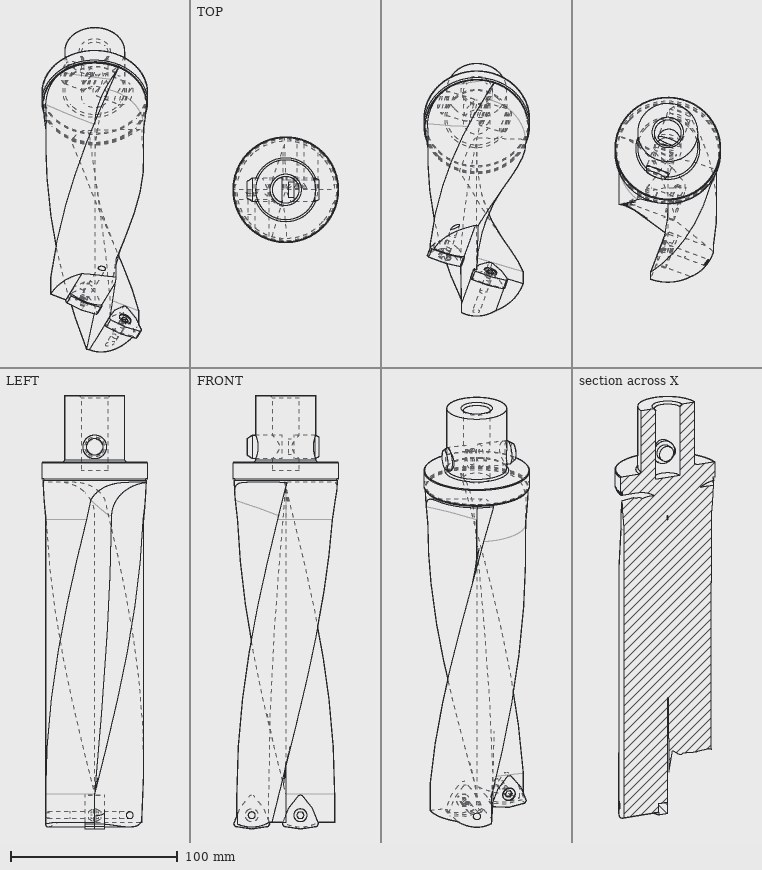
import cadquery as cq
import math

TOTAL_HEIGHT = 260.0
FLANGE_TOP = 220.0
FLANGE_BOTTOM = 210.0
NECK_TOP = 209.0
NECK_BOTTOM = 185.5
TIP_FACE = 4.0

SHANK_RADIUS = 18.0
SHANK_FLARE = 1.2
FLANGE_RADIUS = 31.75
FLANGE_CHAMFER = 0.5
NECK_TOP_RADIUS = 31.0
NECK_MID_RADIUS = 30.4
NECK_RELIEF_RADIUS = 30.5
DRILL_RADIUS = 29.4
BORE_RADIUS = 8.0
BORE_CHAMFER = 1.4
BORE_DEPTH = 45.0

STRAIGHT_HEIGHT = 21.0
TWIST_RATE = 90.0 / 184.0
FLUTE_ROOF = 208.0
ROOF_RADIUS = 20.0
OUTER_FLUTE_CORNER = 10.2
OUTER_WALL_ANGLE = -90.0
INNER_FLUTE_CORNER = 0.0
INNER_WALL_ANGLE = -98.0
REACH = 45.0

INSERT_CENTRE_Z = 8.3
INSERT_CORNER_RADIUS = 13.2
INSERT_NOSE_RADIUS = 12.0
INSERT_THICKNESS = 5.9
INNER_INSERT_X = 8.8
OUTER_INSERT_X = 20.4
BULGE_HALF_WIDTH = 10.5
BULGE_DEPTH = 2.8
SCREW_HEAD_RADIUS = 3.9
SCREW_HEAD_RECESS = 0.8
SCREW_HEAD_HEIGHT = 3.0
SCREW_RADIUS = 2.1
SCREW_LENGTH = 14.0
SOCKET_WIDTH = 4.4
SOCKET_DEPTH = 1.5

PIN_Z = 229.2
PIN_RADIUS = 7.1
LEFT_PIN_OUTER_X = -23.2
LEFT_PIN_INNER_X = -2.2
LEFT_PIN_CONE_LENGTH = 3.3
LEFT_PIN_FACE_RADIUS = 5.0
RIGHT_PIN_OUTER_X = 20.0
RIGHT_PIN_STEP_X = 5.0
RIGHT_PIN_INNER_X = 1.6
RIGHT_PIN_CONE_LENGTH = 2.4
RIGHT_PIN_FACE_RADIUS = 5.9
RIGHT_PIN_NOSE_RADIUS = 4.7


def polar(radius, degrees):
    angle = math.radians(degrees)
    return (radius * math.cos(angle), radius * math.sin(angle))


def turned_blank():
    """Shank, flange, flared neck and drill cylinder as one revolved profile."""
    return (
        cq.Workplane(cq.Plane((0, 0, 0), xDir=(0, -1, 0), normal=(-1, 0, 0)))
        .moveTo(0, TIP_FACE)
        .lineTo(DRILL_RADIUS, TIP_FACE)
        .lineTo(DRILL_RADIUS, NECK_BOTTOM)
        .threePointArc((NECK_MID_RADIUS, (NECK_TOP + NECK_BOTTOM) / 2), (NECK_TOP_RADIUS, NECK_TOP))
        .lineTo(NECK_RELIEF_RADIUS, NECK_TOP)
        .lineTo(NECK_RELIEF_RADIUS, FLANGE_BOTTOM)
        .lineTo(FLANGE_RADIUS, FLANGE_BOTTOM)
        .lineTo(FLANGE_RADIUS, FLANGE_TOP - FLANGE_CHAMFER)
        .lineTo(FLANGE_RADIUS - FLANGE_CHAMFER, FLANGE_TOP)
        .lineTo(SHANK_RADIUS + SHANK_FLARE, FLANGE_TOP)
        .lineTo(SHANK_RADIUS, FLANGE_TOP + SHANK_FLARE)
        .lineTo(SHANK_RADIUS, TOTAL_HEIGHT)
        .lineTo(0, TOTAL_HEIGHT)
        .close()
        .revolve(360, (0, 0, 0), (0, 1, 0))
    )


def tip_bulge():
    """Curved tip behind an insert, on the +Y side with its middle at x = 0."""
    return (
        cq.Workplane("XZ")
        .moveTo(-BULGE_HALF_WIDTH, TIP_FACE)
        .threePointArc((0, TIP_FACE - BULGE_DEPTH), (BULGE_HALF_WIDTH, TIP_FACE))
        .close()
        .extrude(-REACH)
    )


def flute_section(base_z, wall_direction, corner, angle):
    """Flute cross-section: rake face along local +X, back wall leaving the corner downwards."""
    run, drop = wall_direction
    points = [(corner, 0), (REACH, 0), (REACH, -REACH), (corner + run * REACH, drop * REACH)]
    return (
        cq.Workplane("XY", origin=(0, 0, base_z))
        .transformed(rotate=(0, 0, angle))
        .polyline(points)
        .close()
    )


def solid_above_roof(corner, wall_direction):
    """Material left above a flute: its underside is a quarter arc rising out of the back wall."""
    arc_start = FLUTE_ROOF - ROOF_RADIUS
    end_angle = (arc_start - STRAIGHT_HEIGHT) * TWIST_RATE
    run, drop = wall_direction
    wall_angle = end_angle + math.degrees(math.atan2(drop, run))
    wall_offset = -corner * drop
    across_wall = cq.Plane(
        origin=(0, 0, 0),
        xDir=(*polar(1, wall_angle + 90), 0),
        normal=(*polar(1, wall_angle), 0),
    )
    bend = ROOF_RADIUS * (1 - math.sqrt(0.5))
    return (
        cq.Workplane(across_wall)
        .moveTo(wall_offset, arc_start)
        .threePointArc(
            (wall_offset + bend, FLUTE_ROOF - bend),
            (wall_offset + ROOF_RADIUS, FLUTE_ROOF),
        )
        .lineTo(wall_offset + ROOF_RADIUS, FLANGE_TOP)
        .lineTo(wall_offset - ROOF_RADIUS, FLANGE_TOP)
        .lineTo(wall_offset - ROOF_RADIUS, arc_start)
        .close()
        .extrude(REACH, both=True)
    )


def flute(corner, wall_angle, twist_start):
    """Cutter for one flute: straight at the tip, then helical, with an arched upper end."""
    wall_x, wall_y = polar(DRILL_RADIUS, wall_angle)
    wall_length = math.hypot(wall_x - corner, wall_y)
    wall_direction = ((wall_x - corner) / wall_length, wall_y / wall_length)

    start_angle = (twist_start - STRAIGHT_HEIGHT) * TWIST_RATE
    height = FLUTE_ROOF - twist_start
    helical = flute_section(twist_start, wall_direction, corner, start_angle).twistExtrude(
        height, height * TWIST_RATE
    )
    straight = (
        cq.Workplane("XY")
        .moveTo(corner, 0)
        .lineTo(REACH, 0)
        .lineTo(REACH, -REACH)
        .lineTo(wall_x, -REACH)
        .lineTo(wall_x, wall_y)
        .close()
        .extrude(STRAIGHT_HEIGHT)
    )
    return [straight, helical.cut(solid_above_roof(corner, wall_direction))]


def seat_plane(depth=0):
    """Plane at a depth below the insert's rake face, facing -Y, centred on the insert."""
    return cq.Plane((0, depth, INSERT_CENTRE_Z), xDir=(1, 0, 0), normal=(0, -1, 0))


def insert_blank():
    """Trigon plate: three blunted corners, each side kinked outward at its middle."""
    points = []
    for corner_angle in (90, 210, 330):
        points.append(polar(INSERT_CORNER_RADIUS, corner_angle))
        points.append(polar(INSERT_CENTRE_Z, corner_angle + 60))
    plate = cq.Workplane(seat_plane()).polyline(points).close().extrude(-INSERT_THICKNESS)
    nose_circle = cq.Workplane(seat_plane()).circle(INSERT_NOSE_RADIUS).extrude(-INSERT_THICKNESS)
    return plate.intersect(nose_circle)


def screw_blank(length):
    """Countersunk head, slightly below the rake face, on a plain shank."""
    top = seat_plane(SCREW_HEAD_RECESS)
    shank = cq.Workplane(top).circle(SCREW_RADIUS).extrude(-length)
    head = cq.Solid.makeCone(
        SCREW_HEAD_RADIUS,
        SCREW_RADIUS,
        SCREW_HEAD_HEIGHT,
        pnt=top.origin,
        dir=-top.zDir,
    )
    return shank.union(cq.Workplane(head))


def insert():
    recess = cq.Workplane(seat_plane()).circle(SCREW_HEAD_RADIUS).extrude(-SCREW_HEAD_RECESS)
    return insert_blank().cut(recess).cut(screw_blank(SCREW_LENGTH))


def insert_screw():
    socket_plane = seat_plane(SCREW_HEAD_RECESS)
    socket = cq.Workplane(socket_plane).polygon(6, SOCKET_WIDTH).extrude(-SOCKET_DEPTH)
    return screw_blank(SCREW_LENGTH).cut(socket)


def placed(shape, seat_x, turn):
    """Move a shape built at x = 0 to an insert seat, then turn it about the drill axis."""
    return shape.translate((seat_x, 0, 0)).rotate((0, 0, 0), (0, 0, 1), turn)


def pin_profile(outer_x, cone_length, face_radius, inner_points):
    """Pin turned about X: a coned outer end, then the given inner points back to the axis."""
    direction = math.copysign(1, -outer_x)
    return (
        cq.Workplane("XZ", origin=(0, 0, PIN_Z))
        .moveTo(outer_x, 0)
        .lineTo(outer_x, face_radius)
        .lineTo(outer_x + direction * cone_length, PIN_RADIUS)
        .polyline(inner_points, includeCurrent=True)
        .close()
        .revolve(360, (0, 0, 0), (1, 0, 0))
    )


def left_pin():
    inner_end = [(LEFT_PIN_INNER_X, PIN_RADIUS), (LEFT_PIN_INNER_X, 0)]
    return pin_profile(LEFT_PIN_OUTER_X, LEFT_PIN_CONE_LENGTH, LEFT_PIN_FACE_RADIUS, inner_end)


def right_pin():
    stepped_end = [
        (RIGHT_PIN_STEP_X, PIN_RADIUS),
        (RIGHT_PIN_STEP_X, RIGHT_PIN_NOSE_RADIUS),
        (RIGHT_PIN_INNER_X, RIGHT_PIN_NOSE_RADIUS),
        (RIGHT_PIN_INNER_X, 0),
    ]
    return pin_profile(RIGHT_PIN_OUTER_X, RIGHT_PIN_CONE_LENGTH, RIGHT_PIN_FACE_RADIUS, stepped_end)


def drill_body():
    body = turned_blank()
    envelope = cq.Workplane("XY").circle(DRILL_RADIUS).extrude(NECK_BOTTOM)
    for seat_x, turn in SEATS:
        body = body.union(placed(tip_bulge(), seat_x, turn).intersect(envelope))
    for (corner, wall_angle, twist_start), (_, turn) in zip(FLUTES, SEATS):
        for cutter in flute(corner, wall_angle, twist_start):
            body = body.cut(placed(cutter, 0, turn))
    for seat_x, turn in SEATS:
        body = body.cut(placed(insert_blank(), seat_x, turn))
        body = body.cut(placed(screw_blank(REACH), seat_x, turn))
    bore = (
        cq.Workplane("XY", origin=(0, 0, TOTAL_HEIGHT))
        .circle(BORE_RADIUS)
        .extrude(-BORE_DEPTH)
    )
    mouth = cq.Workplane(
        cq.Solid.makeCone(
            BORE_RADIUS,
            BORE_RADIUS + BORE_CHAMFER,
            BORE_CHAMFER,
            pnt=cq.Vector(0, 0, TOTAL_HEIGHT - BORE_CHAMFER),
        )
    )
    cross_hole = cq.Workplane("YZ", origin=(0, 0, PIN_Z)).circle(PIN_RADIUS).extrude(REACH, both=True)
    return body.cut(bore).cut(mouth).cut(cross_hole)


SEATS = [(INNER_INSERT_X, 0), (OUTER_INSERT_X, 180)]
FLUTES = [
    (INNER_FLUTE_CORNER, INNER_WALL_ANGLE, 0),
    (OUTER_FLUTE_CORNER, OUTER_WALL_ANGLE, STRAIGHT_HEIGHT),
]

inserts = [placed(insert(), seat_x, turn) for seat_x, turn in SEATS]
insert_screws = [placed(insert_screw(), seat_x, turn) for seat_x, turn in SEATS]
bodies = [drill_body(), *inserts, *insert_screws, left_pin(), right_pin()]
result = cq.Compound.makeCompound([body.val() for body in bodies])